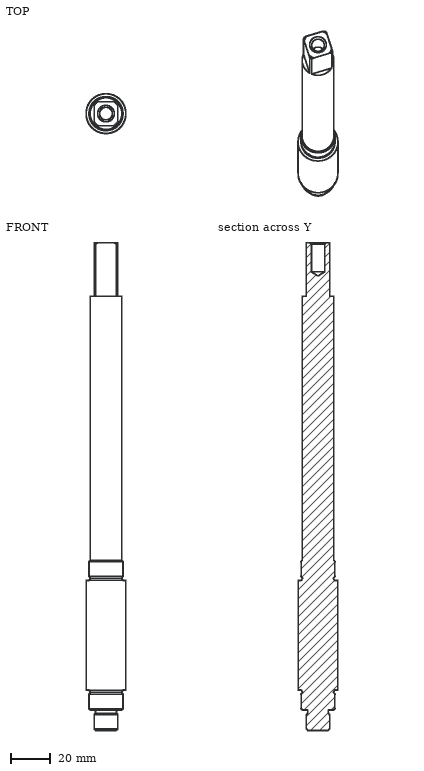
import cadquery as cq

LENGTH = 245.0
BODY_DIAMETER = 20.0
COLLAR_DIAMETER = 17.2
SHAFT_DIAMETER = 16.0
SPIGOT_DIAMETER = 12.0
NECK_DIAMETER = 10.8

SPIGOT_TOP = 8.0
LOWER_COLLAR_BOTTOM = 10.3
BODY_BOTTOM = 20.3
BODY_TOP = 75.5
UPPER_COLLAR_TOP = 85.5

COLLAR_CHAMFER = 0.7
SPIGOT_CHAMFER = 1.0
RELIEF_WIDTH = 2.0
RELIEF_DEPTH = 0.7

SQUARE_WIDTH = SPIGOT_DIAMETER
SQUARE_LENGTH = 27.0
TIP_CHAMFER = 0.7
HOLE_DIAMETER = 6.4
HOLE_DEPTH = 14.7
COUNTERSINK_DIAMETER = 8.3
HOLE_CONE_DEPTH = 2.0


def revolve_profile(points, start_height):
    """Revolve (radius, height) points, starting and ending on the Z axis."""
    profile = [(0, start_height)] + points + [(0, points[-1][1])]
    outline = cq.Workplane("XZ").polyline(profile).close()
    return outline.revolve(360, (0, 0, 0), (0, 1, 0))


def make_turned_shaft():
    body = BODY_DIAMETER / 2
    collar = COLLAR_DIAMETER / 2
    collar_edge = collar - COLLAR_CHAMFER
    shaft = SHAFT_DIAMETER / 2
    spigot = SPIGOT_DIAMETER / 2
    neck = NECK_DIAMETER / 2
    relief = collar - RELIEF_DEPTH
    return revolve_profile([
        (spigot - SPIGOT_CHAMFER, 0),
        (spigot, SPIGOT_CHAMFER),
        (spigot, SPIGOT_TOP),
        (neck, SPIGOT_TOP + spigot - neck),
        (neck, LOWER_COLLAR_BOTTOM),
        (collar_edge, LOWER_COLLAR_BOTTOM),
        (collar, LOWER_COLLAR_BOTTOM + COLLAR_CHAMFER),
        (collar, BODY_BOTTOM - RELIEF_WIDTH),
        (relief, BODY_BOTTOM - RELIEF_WIDTH / 2),
        (collar, BODY_BOTTOM),
        (body, BODY_BOTTOM),
        (body, BODY_TOP),
        (collar, BODY_TOP),
        (relief, BODY_TOP + RELIEF_WIDTH / 2),
        (collar, BODY_TOP + RELIEF_WIDTH),
        (collar, UPPER_COLLAR_TOP - (collar - shaft)),
        (shaft, UPPER_COLLAR_TOP),
        (shaft, LENGTH - TIP_CHAMFER),
        (shaft - TIP_CHAMFER, LENGTH),
    ], start_height=0)


def make_square_drive_cut():
    """Ring of material outside the square, along the drive length."""
    return (
        cq.Workplane("XY", origin=(0, 0, LENGTH - SQUARE_LENGTH))
        .rect(2 * SHAFT_DIAMETER, 2 * SHAFT_DIAMETER)
        .rect(SQUARE_WIDTH, SQUARE_WIDTH)
        .extrude(SQUARE_LENGTH)
    )


def make_centre_hole():
    """Countersunk blind hole with a conical bottom."""
    hole = HOLE_DIAMETER / 2
    countersink = COUNTERSINK_DIAMETER / 2
    hole_bottom = LENGTH - HOLE_DEPTH
    return revolve_profile([
        (hole, hole_bottom),
        (hole, LENGTH - (countersink - hole)),
        (countersink, LENGTH),
    ], start_height=hole_bottom - HOLE_CONE_DEPTH)



result = make_turned_shaft().cut(make_square_drive_cut()).cut(make_centre_hole())